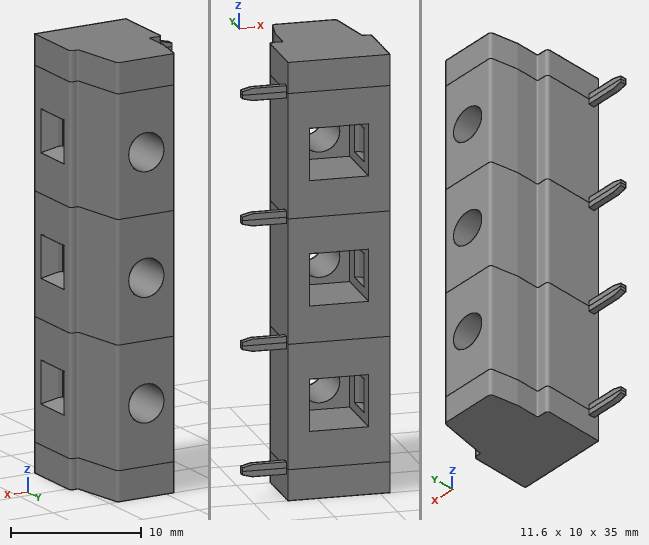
import cadquery as cq
import math


total_height = 35.0
module_count = 3
module_pitch = 10.0
end_height = (total_height - module_count * module_pitch) / 2

base_width = 8.1
depth = 10.0
shoulder_y = 5.42
left_shoulder = 1.1
right_shoulder = 0.7
draft_start_y = 7.52
draft_angle = 10.0
corner_radius = 0.28
root_radius = 0.15

pocket_width = 4.7
pocket_height = 4.15
pocket_depth = shoulder_y
hole_diameter = 3.1
entry_size = 2.65
entry_start_y = 1.35
entry_throat = 0.4
entry_flare = 0.42

pin_length = 3.5
pin_height = 0.98
pin_tip_height = 0.55
pin_taper_length = 0.8
pin_front_y = 0.5
pin_thickness = 0.52


def housing_block(bottom_z, height):
    """Stepped housing section, narrowed by drafted flanks above the shoulders."""
    draft = math.tan(math.radians(draft_angle))
    wall_left = left_shoulder
    wall_right = base_width - right_shoulder
    top_left = wall_left + (depth - draft_start_y) * draft
    top_right = wall_right - (depth - shoulder_y) * draft
    block = (
        cq.Workplane("XY", origin=(0, 0, bottom_z))
        .polyline([
            (0, 0),
            (base_width, 0),
            (base_width, shoulder_y),
            (wall_right, shoulder_y),
            (top_right, depth),
            (top_left, depth),
            (wall_left, draft_start_y),
            (wall_left, shoulder_y),
            (0, shoulder_y),
        ])
        .close()
        .extrude(height)
    )
    outer_corners = [
        (0, shoulder_y),
        (base_width, shoulder_y),
        (top_left, depth),
        (top_right, depth),
    ]
    inner_corners = [(wall_left, shoulder_y), (wall_right, shoulder_y)]
    for corners, radius in [(outer_corners, corner_radius), (inner_corners, root_radius)]:
        for x, y in corners:
            corner = cq.selectors.NearestToPointSelector((x, y, bottom_z + height / 2))
            block = block.edges(corner).fillet(radius)
    return block


def half_pin(joint_z, side):
    """Half of a tapered pin, above (side = 1) or below (side = -1) a joint."""
    return (
        cq.Workplane("XZ", origin=(0, pin_front_y, joint_z))
        .polyline([
            (0, 0),
            (0, side * pin_height / 2),
            (pin_taper_length - pin_length, side * pin_height / 2),
            (-pin_length, side * pin_tip_height / 2),
            (-pin_length, 0),
        ])
        .close()
        .extrude(-pin_thickness)
    )


def clamp_pocket(center_z):
    """Rectangular pocket sunk into the -Y face."""
    return cq.Workplane("XY").box(
        pocket_width, pocket_depth, pocket_height, centered=(True, False, True)
    ).translate((base_width / 2, 0, center_z))


def screw_hole(center_z):
    """Round hole along Y through the whole module."""
    return (
        cq.Workplane("XZ", origin=(base_width / 2, 0, center_z))
        .circle(hole_diameter / 2)
        .extrude(-depth)
    )


def wire_entry(center_z):
    """Square entry from the pocket to the +X face: a straight throat, then a flare."""
    pocket_wall_x = (base_width + pocket_width) / 2
    throat_end_x = pocket_wall_x + entry_throat
    center_y = entry_start_y + entry_size / 2
    throat = (
        cq.Workplane("YZ", origin=(base_width / 2, center_y, center_z))
        .rect(entry_size, entry_size)
        .extrude(throat_end_x - base_width / 2)
    )
    mouth_size = entry_size + 2 * entry_flare
    flare = (
        cq.Workplane("YZ", origin=(throat_end_x, center_y, center_z))
        .rect(entry_size, entry_size)
        .workplane(offset=base_width - throat_end_x)
        .rect(mouth_size, mouth_size)
        .loft(ruled=True)
    )
    return throat.union(flare)


def terminal_module(bottom_z):
    """One module with its pocket, screw hole, wire entry and two half pins."""
    top_z = bottom_z + module_pitch
    center_z = bottom_z + module_pitch / 2
    return (
        housing_block(bottom_z, module_pitch)
        .cut(clamp_pocket(center_z))
        .cut(screw_hole(center_z))
        .cut(wire_entry(center_z))
        .union(half_pin(bottom_z, 1))
        .union(half_pin(top_z, -1))
    )


first_joint_z = end_height
last_joint_z = total_height - end_height

bottom_end = housing_block(0, end_height).union(half_pin(first_joint_z, -1))
top_end = housing_block(last_joint_z, end_height).union(half_pin(last_joint_z, 1))
modules = [terminal_module(first_joint_z + i * module_pitch) for i in range(module_count)]

result = cq.Compound.makeCompound(
    [bottom_end.val(), *[module.val() for module in modules], top_end.val()]
)